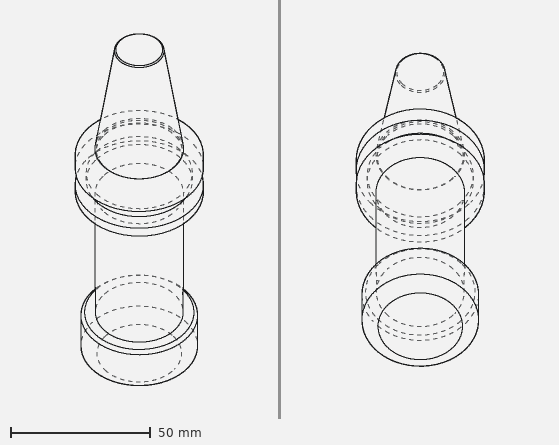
import cadquery as cq

total_height = 148.4
gauge_z = 100.0
flange_top_z = 98.0
flange_bottom_z = 78.0
joint_z = 32.0
nut_height = 20.0

gauge_radius = 15.9
taper_slope = 7 / 48
taper_tip_radius = gauge_radius - taper_slope * (total_height - gauge_z)
tip_chamfer = 0.5
relief_depth = 0.5
relief_fillet = 0.6

flange_radius = 23.0
flange_edge_radius = 1.0
groove_radius = 19.0
groove_upper_z = 90.7
groove_floor_top_z = 88.3
groove_floor_bottom_z = 84.5
groove_lower_z = 82.5

body_radius = 15.9
lower_body_radius = 15.7
joint_width = 0.9
nut_radius = 20.9
nut_top_chamfer = 1.3
nut_nose_radius = 15.1
nut_nose_height = 3.5


def revolve_profile(points):
    """Turn an open (radius, height) outline, closed along the Z axis."""
    bottom_z = points[0][1]
    top_z = points[-1][1]
    outline = [(0, bottom_z)] + points + [(0, top_z)]
    return cq.Workplane("XZ").polyline(outline).close().revolve(360, (0, 0, 0), (0, 1, 0))


def make_nut():
    return revolve_profile([
        (nut_nose_radius, 0),
        (nut_radius, nut_nose_height),
        (nut_radius, nut_height - nut_top_chamfer),
        (nut_radius - nut_top_chamfer, nut_height),
    ])


def make_body():
    """Cylinder that narrows slightly, over a short cone, towards the nut."""
    return revolve_profile([
        (lower_body_radius, nut_height),
        (lower_body_radius, joint_z - joint_width / 2),
        (body_radius, joint_z + joint_width / 2),
        (body_radius, flange_bottom_z),
    ])


def make_flange():
    """Grooved disc with rounded outer rims."""
    blank = (
        cq.Workplane("XY", origin=(0, 0, flange_bottom_z))
        .circle(flange_radius)
        .extrude(flange_top_z - flange_bottom_z)
        .edges("%CIRCLE")
        .fillet(flange_edge_radius)
    )
    groove_section = [
        (flange_radius, groove_lower_z),
        (groove_radius, groove_floor_bottom_z),
        (groove_radius, groove_floor_top_z),
        (flange_radius, groove_upper_z),
    ]
    groove = cq.Workplane("XZ").polyline(groove_section).close().revolve(360, (0, 0, 0), (0, 1, 0))
    return blank.cut(groove)


def make_shank():
    """Taper above a short relieved neck that blends into the flange."""
    neck_radius = gauge_radius - relief_depth
    foot_radius = neck_radius + relief_fillet
    outline = (
        cq.Workplane("XZ")
        .moveTo(0, flange_top_z)
        .lineTo(foot_radius, flange_top_z)
        .radiusArc((neck_radius, flange_top_z + relief_fillet), relief_fillet)
        .lineTo(neck_radius, gauge_z - relief_depth)
        .lineTo(gauge_radius, gauge_z)
        .lineTo(taper_tip_radius + taper_slope * tip_chamfer, total_height - tip_chamfer)
        .lineTo(taper_tip_radius - tip_chamfer, total_height)
        .lineTo(0, total_height)
        .close()
    )
    return outline.revolve(360, (0, 0, 0), (0, 1, 0))


result = make_nut().union(make_body()).union(make_flange()).union(make_shank())